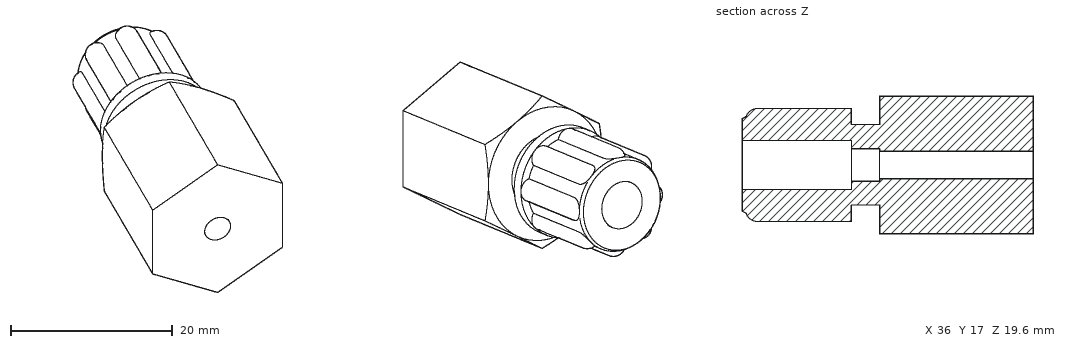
import cadquery as cq
import math

total_length = 36.0
hex_start = 17.0
hex_across_flats = 17.0
hex_chamfer_angle = 30.0

cap_diameter = 12.0
cap_face_diameter = 11.45
cap_chamfer_length = 0.5
flange_start = 12.0
flange_end = 13.5
flange_diameter = 14.0
neck_diameter = 10.0

rib_count = 8
rib_diameter = 3.0
rib_ball_center = 1.9

entry_diameter = 6.0
entry_depth = flange_end
middle_diameter = 4.0
middle_depth = hex_start
through_diameter = 3.4


def cylinder(start, end, diameter):
    """Cylinder on the X axis between two X positions."""
    return cq.Workplane("YZ", origin=(start, 0, 0)).circle(diameter / 2).extrude(end - start)


def make_cap():
    """Cap nut with a bevelled front edge."""
    face_radius = cap_face_diameter / 2
    radius = cap_diameter / 2
    return (
        cq.Workplane("XY")
        .moveTo(0, 0)
        .lineTo(0, face_radius)
        .lineTo(cap_chamfer_length, radius)
        .lineTo(flange_start, radius)
        .lineTo(flange_start, 0)
        .close()
        .revolve(360, (0, 0, 0), (1, 0, 0))
    )


def make_rib(angle):
    """Round bar with a ball end, its crest level with the flange rim."""
    center_radius = (flange_diameter - rib_diameter) / 2
    bar = cylinder(rib_ball_center, flange_start, rib_diameter)
    ball = cq.Workplane("XY", origin=(rib_ball_center, 0, 0)).sphere(rib_diameter / 2)
    rib = bar.union(ball).translate((0, 0, center_radius))
    return rib.rotate((0, 0, 0), (1, 0, 0), angle)


def make_hex():
    """Hexagon body with corners up and down, its front corners bevelled by a cone."""
    corner_radius = hex_across_flats / 2 / math.cos(math.pi / 6)
    prism = (
        cq.Workplane("YZ", origin=(hex_start, 0, 0))
        .polygon(6, 2 * corner_radius)
        .extrude(total_length - hex_start)
        .rotate((0, 0, 0), (1, 0, 0), 90)
    )
    flat_radius = hex_across_flats / 2
    cone_length = total_length - hex_start
    cone_end_radius = flat_radius + cone_length / math.tan(math.radians(hex_chamfer_angle))
    cone = (
        cq.Workplane("XY")
        .moveTo(hex_start, 0)
        .lineTo(hex_start, flat_radius)
        .lineTo(total_length, cone_end_radius)
        .lineTo(total_length, 0)
        .close()
        .revolve(360, (0, 0, 0), (1, 0, 0))
    )
    return prism.intersect(cone)


body = make_cap()
for index in range(rib_count):
    body = body.union(make_rib(index * 360 / rib_count))
body = body.union(cylinder(flange_start, flange_end, flange_diameter))
body = body.union(cylinder(flange_end, hex_start, neck_diameter))
body = body.union(make_hex())

body = body.cut(cylinder(0, entry_depth, entry_diameter))
body = body.cut(cylinder(entry_depth, middle_depth, middle_diameter))
result = body.cut(cylinder(middle_depth, total_length, through_diameter))